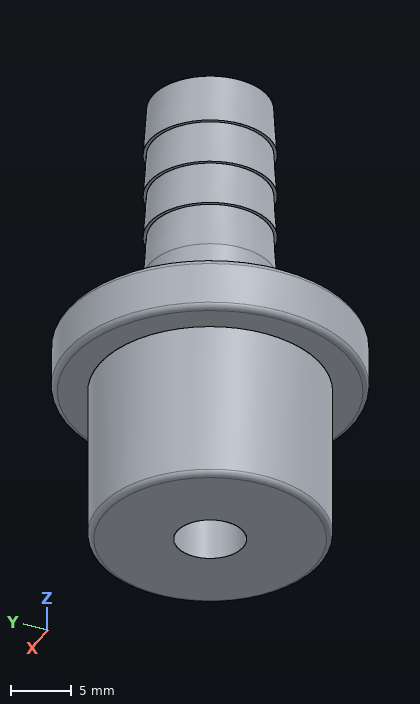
import cadquery as cq

total_height = 41.7
plug_diameter = 20.2
plug_height = 14.35
edge_radius = 0.5

flange_diameter = 26.2
flange_thickness = 4.75
flange_top = plug_height + flange_thickness

stem_diameter = 11.1
stem_root_radius = 1.0
bore_diameter = 6.0

barb_tip_diameter = 10.5
barb_count = 4
barb_pitch = 4.0
top_barb_height = 4.45
barbs_bottom = total_height - top_barb_height - (barb_count - 1) * barb_pitch


def cylinder(diameter, bottom, height):
    return cq.Workplane("XY").workplane(offset=bottom).circle(diameter / 2).extrude(height)


def barb(bottom, height):
    root_radius = stem_diameter / 2
    tip_radius = barb_tip_diameter / 2
    top = bottom + height
    return (
        cq.Workplane("XZ")
        .moveTo(0, bottom)
        .lineTo(root_radius, bottom)
        .lineTo(tip_radius, top)
        .lineTo(0, top)
        .close()
        .revolve(360, (0, 0, 0), (0, 1, 0))
    )


plug = cylinder(plug_diameter, 0, plug_height).faces("<Z").edges().fillet(edge_radius)
flange = cylinder(flange_diameter, plug_height, flange_thickness).edges("%CIRCLE").fillet(edge_radius)

stem = cylinder(stem_diameter, flange_top, barbs_bottom - flange_top)
body = plug.union(flange).union(stem)
stem_root = cq.selectors.BoxSelector(
    (-stem_diameter, -stem_diameter, flange_top - edge_radius / 2),
    (stem_diameter, stem_diameter, flange_top + edge_radius / 2),
)
body = body.edges(stem_root).edges(cq.selectors.RadiusNthSelector(0)).fillet(stem_root_radius)

for index in range(barb_count):
    is_top = index == barb_count - 1
    height = top_barb_height if is_top else barb_pitch
    body = body.union(barb(barbs_bottom + index * barb_pitch, height))

result = body.cut(cylinder(bore_diameter, 0, total_height))